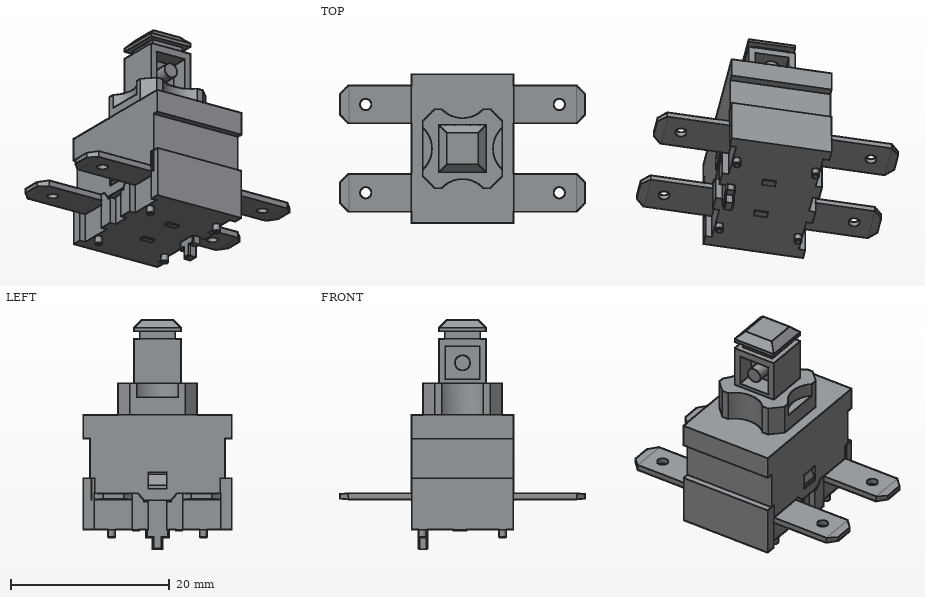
import cadquery as cq


body_x = 12.9
body_y = 18.8
waist_y = 17.1
base_top = 6.5
flange_bottom = 11.5
body_top = 14.5
base_setback = 0.03
end_wall = 1.45

skirt_z = 4.6
tongue_z = 3.73
tongue_root_half = 2.48
tongue_tip_half = 1.74

recess_depth = 0.85
leg_slot_width = 2.4
tongue_gap = 0.2
seam_y = 8.33
seam_bottom = 3.8
seam_width = 0.1
seam_depth = 0.15

latch_width = 2.4
latch_bottom = 5.15
latch_top = 7.27
latch_slope_bottom = 5.63
latch_slope_top = 6.99
latch_face_depth = 0.1
latch_depth = 0.65

terminal_span = 31.0
terminal_y = 5.58
terminal_width = 4.8
terminal_thickness = 0.8
tip_length = 1.1
tip_width = 2.65
tip_bevel = 0.1
terminal_hole_x = 12.23
terminal_hole_diameter = 1.4

pin_x = 5.06
pin_y = 5.8
pin_diameter = 0.95
pin_length = 1.05
pin_chamfer = 0.15
pad_x_min = -1.18
pad_length = 1.7
pad_width = 0.82
pad_height = 0.17
pad_y = 2.73
leg_thickness = 1.2
leg_collar_width = 2.95
leg_collar_length = 1.05
leg_tip_width = 1.27
leg_length = 2.5
leg_embedment = 0.5
leg_chamfer = 0.17

bushing_size = 10.0
bushing_top = 18.5
bushing_chamfer = 1.5
scallop_sagitta = 1.15
scallop_chord = 5.26
side_scallop_depth = 1.8

plunger_size = 6.0
plunger_top = 24.1
plunger_window_width = 4.3
plunger_window_height = 4.15
plunger_window_z = 21.07
plunger_web = 1.0
plunger_pin_diameter = 1.9
neck_size = 4.5
cap_bottom = 25.05
cap_edge_top = 25.5
cap_top = 26.5
cap_top_size = 4.0


def block(x_min, x_max, width, z_min, z_max, y=0.0):
    """Box between two X and two Z limits, centred on the given Y."""
    box = cq.Workplane("XY").box(x_max - x_min, width, z_max - z_min, centered=(False, True, False))
    return box.translate((x_min, y, z_min))


def centred_block(length, width, z_min, z_max):
    return block(-length / 2, length / 2, width, z_min, z_max)


def both_x_sides(shape):
    """The shape together with its mirror image in the YZ plane."""
    return shape.union(shape.mirror("YZ"))


def upper_shell():
    """Top flange and waist, with a skirt that ends in a tapered tongue."""
    flange = centred_block(body_x, body_y, flange_bottom, body_top)
    waist = centred_block(body_x, waist_y, base_top, flange_bottom)
    skirt_half = body_y / 2 - end_wall
    skirt = (
        cq.Workplane("YZ")
        .polyline([
            (-skirt_half, base_top),
            (-skirt_half, skirt_z),
            (-tongue_root_half, skirt_z),
            (-tongue_tip_half, tongue_z),
            (tongue_tip_half, tongue_z),
            (tongue_root_half, skirt_z),
            (skirt_half, skirt_z),
            (skirt_half, base_top),
        ])
        .close()
        .extrude(body_x / 2, both=True)
    )
    return flange.union(waist).union(skirt)


def base_recesses():
    """Terminal pockets, leg slot and seam on the -X side of the base."""
    outer = -body_x / 2
    inner = outer + recess_depth
    recesses = block(outer, inner, leg_slot_width, 0, tongue_z)
    gap = block(outer, inner, 2 * tongue_tip_half, tongue_z - tongue_gap, tongue_z)
    recesses = recesses.union(gap)
    for y in (-terminal_y, terminal_y):
        recesses = recesses.union(block(outer, inner, terminal_width, 0, skirt_z, y))
    seam = block(outer, outer + seam_depth, seam_width, seam_bottom, base_top, seam_y)
    return recesses.union(seam)


def latch_window():
    """Window on the -X side, leaving a sloped catch at its lower edge."""
    outer = -body_x / 2
    return (
        cq.Workplane("XZ")
        .polyline([
            (outer, latch_bottom),
            (outer + latch_face_depth, latch_bottom),
            (outer + latch_face_depth, latch_slope_bottom),
            (outer + latch_depth, latch_slope_top),
            (outer + latch_depth, latch_top),
            (outer, latch_top),
        ])
        .close()
        .extrude(latch_width / 2, both=True)
    )


def housing():
    base = centred_block(body_x - 2 * base_setback, body_y, 0, base_top)
    base = base.cut(both_x_sides(base_recesses()))
    return base.union(upper_shell()).cut(both_x_sides(latch_window()))


def terminal_strip(y):
    """Flat bar through the housing whose two ends form pointed, drilled blades."""
    half_span = terminal_span / 2
    z_min = skirt_z - terminal_thickness
    strip = centred_block(terminal_span, terminal_width, z_min, skirt_z)
    strip = strip.edges("|Z").chamfer(tip_length, (terminal_width - tip_width) / 2)
    side_profile = (
        cq.Workplane("XZ")
        .polyline([
            (-half_span, z_min + tip_bevel),
            (-half_span + tip_length, z_min),
            (half_span - tip_length, z_min),
            (half_span, z_min + tip_bevel),
            (half_span, skirt_z - tip_bevel),
            (half_span - tip_length, skirt_z),
            (-half_span + tip_length, skirt_z),
            (-half_span, skirt_z - tip_bevel),
        ])
        .close()
        .extrude(terminal_width / 2, both=True)
    )
    holes = (
        cq.Workplane("XY", origin=(0, 0, z_min))
        .pushPoints([(-terminal_hole_x, 0), (terminal_hole_x, 0)])
        .circle(terminal_hole_diameter / 2)
        .extrude(terminal_thickness)
    )
    return strip.intersect(side_profile).cut(holes).translate((0, y, 0))


def locating_pins():
    return (
        cq.Workplane("XY")
        .rect(2 * pin_x, 2 * pin_y, forConstruction=True)
        .vertices()
        .circle(pin_diameter / 2)
        .extrude(-pin_length)
        .faces("<Z")
        .chamfer(pin_chamfer)
    )


def underside_pads():
    pads = cq.Workplane("XY")
    for y in (-pad_y, pad_y):
        pads = pads.union(block(pad_x_min, pad_x_min + pad_length, pad_width, -pad_height, 0, y))
    return pads


def keyed_leg():
    """Stepped leg below the slot on the -X side: wide collar, then a narrow tip."""
    x_min = -body_x / 2 + recess_depth
    x_max = x_min + leg_thickness
    collar = block(x_min, x_max, leg_collar_width, -leg_collar_length, leg_embedment)
    tip = block(x_min, x_max, leg_tip_width, -leg_length, leg_embedment)
    return collar.union(tip).faces("<X or >X").edges().chamfer(leg_chamfer)


def bushing():
    """Chamfered square block with an arc scallop in the middle of each side."""
    radius = scallop_sagitta / 2 + scallop_chord ** 2 / (8 * scallop_sagitta)
    centre = bushing_size / 2 - scallop_sagitta + radius
    block_shape = centred_block(bushing_size, bushing_size, body_top, bushing_top)
    block_shape = block_shape.edges("|Z").chamfer(bushing_chamfer)
    end_scallops = (
        cq.Workplane("XY", origin=(0, 0, body_top))
        .pushPoints([(0, -centre), (0, centre)])
        .circle(radius)
        .extrude(bushing_top - body_top)
    )
    side_scallops = (
        cq.Workplane("XY", origin=(0, 0, bushing_top))
        .pushPoints([(-centre, 0), (centre, 0)])
        .circle(radius)
        .extrude(-side_scallop_depth)
    )
    return block_shape.cut(end_scallops).cut(side_scallops)


def plunger():
    """Square plunger with a pocket and a round stub on each Y side of a central web."""
    window_bottom = plunger_window_z - plunger_window_height / 2
    window_top = plunger_window_z + plunger_window_height / 2
    body = centred_block(plunger_size, plunger_size, bushing_top, plunger_top)
    opening = centred_block(plunger_window_width, plunger_size, window_bottom, window_top)
    web = centred_block(plunger_window_width, plunger_web, window_bottom, window_top)
    stub = (
        cq.Workplane("XZ", origin=(0, 0, plunger_window_z))
        .circle(plunger_pin_diameter / 2)
        .extrude(plunger_size / 2, both=True)
    )
    return body.cut(opening).union(web).union(stub)


def cap():
    neck = centred_block(neck_size, neck_size, plunger_top, cap_bottom)
    rim = centred_block(plunger_size, plunger_size, cap_bottom, cap_edge_top)
    crown = (
        cq.Workplane("XY", origin=(0, 0, cap_edge_top))
        .rect(plunger_size, plunger_size)
        .workplane(offset=cap_top - cap_edge_top)
        .rect(cap_top_size, cap_top_size)
        .loft(combine=True)
    )
    return neck.union(rim).union(crown)


result = housing()
for strip_y in (-terminal_y, terminal_y):
    result = result.union(terminal_strip(strip_y))
for feature in (locating_pins(), underside_pads(), keyed_leg(), bushing(), plunger(), cap()):
    result = result.union(feature)